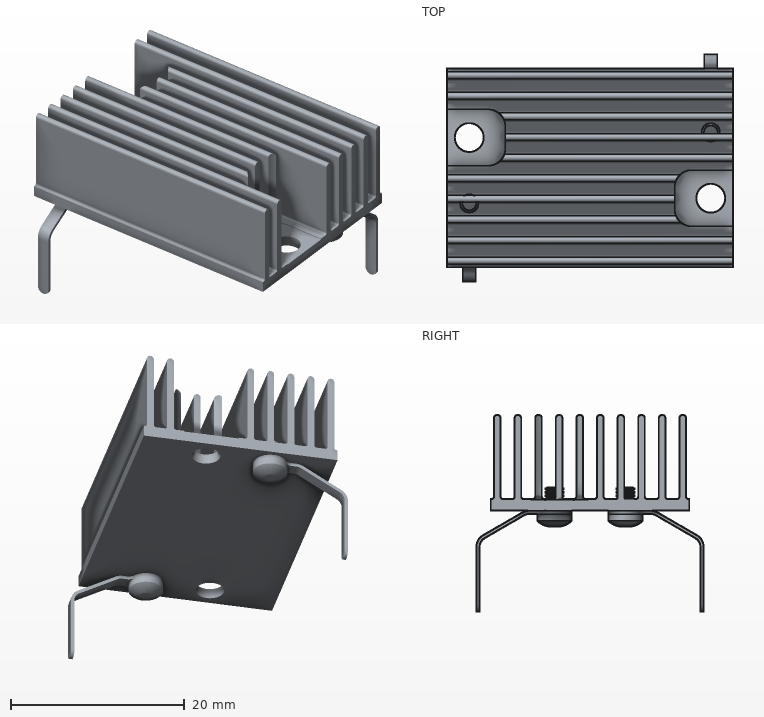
import cadquery as cq
import math

length = 32.95
base_width = 22.9
base_thickness = 1.35
overall_height = 11.05
fin_count = 10
fin_pitch = 2.37
fin_thickness = 0.8
fin_root_radius = 0.25

pocket_length = 6.72
pocket_width = 6.5
pocket_corner_radius = 1.98
pocket_floor_drop = 0.1
mount_hole_diameter = 3.3
mount_x = 13.9
mount_y = 3.5

screw_x = mount_x
screw_y = 4.1
thread_diameter = 2.1
thread_depth = 0.25
thread_pitch = 0.4
thread_turns = 7
thread_crest = 0.1
thread_tip_z = 2.7
thread_start_z = thread_tip_z - thread_pitch * thread_turns
head_diameter = 4.0
head_edge_z = -1.2
head_bottom_z = -1.85
head_crown_radius = 0.65
head_dome_mid_radius = 1.32
head_dome_mid_z = -1.65

leg_width = 1.5
leg_thickness = 0.4
leg_slope = 30.0
leg_bend_inner_radius = 1.2
leg_bend_outer_radius = leg_bend_inner_radius + leg_thickness
overall_width = 26.2
leg_outer_y = overall_width / 2
leg_lower_bend_z = -4.18
leg_bottom_z = -11.65
leg_neck_radius = 1.0

half_turns = (0, 180)


def turned(body, degrees):
    """Copy of a body turned about the vertical axis."""
    return body.rotate((0, 0, 0), (0, 0, 1), degrees)


def fin_section(y):
    """End outline of one fin with a rounded tip and flared, filleted roots."""
    half = fin_thickness / 2
    foot = half + fin_root_radius
    root_z = base_thickness + fin_root_radius
    tip_z = overall_height - half
    bulge = fin_root_radius * (1 - math.sqrt(0.5))
    sink_z = base_thickness / 2
    return (
        cq.Workplane("YZ", origin=(-length / 2, y, 0))
        .moveTo(-foot, sink_z)
        .lineTo(-foot, base_thickness)
        .threePointArc((-half - bulge, base_thickness + bulge), (-half, root_z))
        .lineTo(-half, tip_z)
        .threePointArc((0, overall_height), (half, tip_z))
        .lineTo(half, root_z)
        .threePointArc((half + bulge, base_thickness + bulge), (foot, base_thickness))
        .lineTo(foot, sink_z)
        .close()
    )


def mounting_pocket():
    """Cutter at the -X end: a round-cornered pocket and its mounting hole."""
    floor_z = base_thickness - pocket_floor_drop
    pocket = (
        cq.Workplane("XY")
        .box(pocket_length, pocket_width, overall_height, centered=(False, True, False))
        .edges("|Z and >X")
        .fillet(pocket_corner_radius)
        .translate((-length / 2, mount_y, floor_z))
    )
    hole = (
        cq.Workplane("XY")
        .center(-mount_x, mount_y)
        .circle(mount_hole_diameter / 2)
        .extrude(base_thickness)
    )
    return pocket.union(hole)


def make_heatsink():
    body = cq.Workplane("XY").box(length, base_width, base_thickness, centered=(True, True, False))
    trim = cq.Workplane("XY").box(length, base_width, overall_height, centered=(True, True, False))
    for i in range(fin_count):
        y = (i - (fin_count - 1) / 2) * fin_pitch
        body = body.union(fin_section(y).extrude(length).intersect(trim))
    screw_hole = (
        cq.Workplane("XY")
        .center(-screw_x, -screw_y)
        .circle(thread_diameter / 2)
        .extrude(thread_tip_z)
    )
    for cutter in (mounting_pocket(), screw_hole):
        for turn_angle in half_turns:
            body = body.cut(turned(cutter, turn_angle))
    return body


def make_screw():
    """Screw at -X, -Y: a domed head under the leg and a threaded shank up into the heatsink."""
    crest_r = thread_diameter / 2
    root_r = crest_r - thread_depth
    flank = (thread_pitch - thread_crest) / 2
    head_r = head_diameter / 2
    profile = (
        cq.Workplane("XZ")
        .moveTo(0, head_bottom_z)
        .lineTo(head_crown_radius, head_bottom_z)
        .threePointArc((head_dome_mid_radius, head_dome_mid_z), (head_r, head_edge_z))
        .lineTo(head_r, -leg_thickness)
        .lineTo(crest_r, -leg_thickness)
        .lineTo(crest_r, thread_start_z)
        .lineTo(root_r, thread_start_z)
    )
    for turn in range(thread_turns):
        z = thread_start_z + turn * thread_pitch
        profile = (
            profile.lineTo(crest_r, z + flank)
            .lineTo(crest_r, z + flank + thread_crest)
            .lineTo(root_r, z + thread_pitch)
        )
    screw = profile.lineTo(0, thread_tip_z).close().revolve(360, (0, 0, 0), (0, 1, 0))
    return screw.translate((-screw_x, -screw_y, 0))


def polar(centre, radius, degrees):
    """Point at a radius and direction from a centre."""
    angle = math.radians(degrees)
    return (centre[0] + radius * math.cos(angle), centre[1] + radius * math.sin(angle))


def bent_strip():
    """Leg strip in the +Y direction: level under the base, sloping outward, then down to a round end."""
    outer = leg_bend_outer_radius
    inner = leg_bend_inner_radius
    lower = (leg_outer_y - outer, leg_lower_bend_z)
    slope_run = (-outer - leg_lower_bend_z) / math.tan(math.radians(leg_slope))
    end_centre_z = leg_bottom_z + leg_width / 2
    upper = (lower[0] - slope_run, -outer)
    level = 90
    slope = 90 - leg_slope
    upper_mid = (level + slope) / 2
    lower_mid = slope / 2
    strip = (
        cq.Workplane("YZ")
        .moveTo(screw_y, 0)
        .lineTo(*polar(upper, outer, level))
        .threePointArc(polar(upper, outer, upper_mid), polar(upper, outer, slope))
        .lineTo(*polar(lower, outer, slope))
        .threePointArc(polar(lower, outer, lower_mid), polar(lower, outer, 0))
        .lineTo(leg_outer_y, end_centre_z)
        .lineTo(leg_outer_y - leg_thickness, end_centre_z)
        .lineTo(*polar(lower, inner, 0))
        .threePointArc(polar(lower, inner, lower_mid), polar(lower, inner, slope))
        .lineTo(*polar(upper, inner, slope))
        .threePointArc(polar(upper, inner, upper_mid), polar(upper, inner, level))
        .lineTo(screw_y, -leg_thickness)
        .close()
        .extrude(leg_width / 2, both=True)
    )
    round_end = (
        cq.Workplane("XZ", origin=(0, leg_outer_y, end_centre_z))
        .circle(leg_width / 2)
        .extrude(leg_thickness)
    )
    return strip.union(round_end)


def neck():
    """Web blending the round eye into the strip with a concave arc on each side."""
    half = leg_width / 2
    eye_r = head_diameter / 2
    arc_x = half + leg_neck_radius
    arc_y = math.sqrt((eye_r + leg_neck_radius) ** 2 - arc_x**2)
    ratio = eye_r / (eye_r + leg_neck_radius)
    eye_x = arc_x * ratio
    eye_y = arc_y * ratio
    mid_angle = 180 + math.degrees(math.atan2(arc_y, arc_x)) / 2
    mid_x, mid_y = polar((arc_x, arc_y), leg_neck_radius, mid_angle)
    return (
        cq.Workplane("XY")
        .lineTo(eye_x, eye_y)
        .threePointArc((mid_x, mid_y), (half, arc_y))
        .lineTo(-half, arc_y)
        .threePointArc((-mid_x, mid_y), (-eye_x, eye_y))
        .close()
        .extrude(-leg_thickness)
        .translate((0, screw_y, 0))
    )


def make_leg():
    """Leg at +X, +Y: an eye clamped by the screw head and a bent strip."""
    eye = cq.Workplane("XY").center(0, screw_y).circle(head_diameter / 2).extrude(-leg_thickness)
    hole = cq.Workplane("XY").center(0, screw_y).circle(thread_diameter / 2).extrude(-leg_thickness)
    leg = eye.union(neck()).union(bent_strip()).cut(hole)
    return leg.translate((screw_x, 0, 0))


heatsink = make_heatsink()
screws = []
legs = []
for turn_angle in half_turns:
    screws.append(turned(make_screw(), turn_angle).val())
    legs.append(turned(make_leg(), turn_angle).val())

result = cq.Compound.makeCompound([heatsink.val(), *screws, *legs])